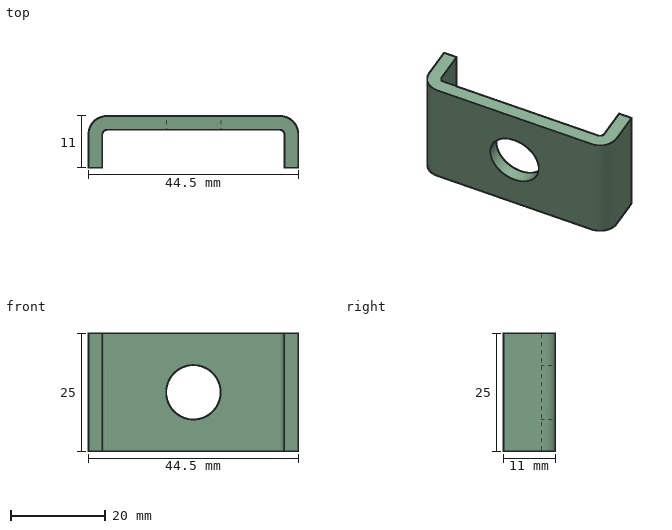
import cadquery as cq

width = 44.5
depth = 11.0
height = 25.0
thickness = 3.0
inner_bend_radius = 1.0
hole_diameter = 11.5

outer_bend_radius = inner_bend_radius + thickness


def upright_block(block_width, block_depth):
    """Full-height block centred on X, with its front face at Y = 0."""
    return cq.Workplane("XY").box(block_width, block_depth, height, centered=(True, False, True))


outside = upright_block(width, depth).edges("|Z and >Y").fillet(outer_bend_radius)
inside = upright_block(width - 2 * thickness, depth - thickness).edges("|Z and >Y").fillet(inner_bend_radius)
channel = outside.cut(inside)

hole = cq.Workplane("XZ").circle(hole_diameter / 2).extrude(-depth)

result = channel.cut(hole)